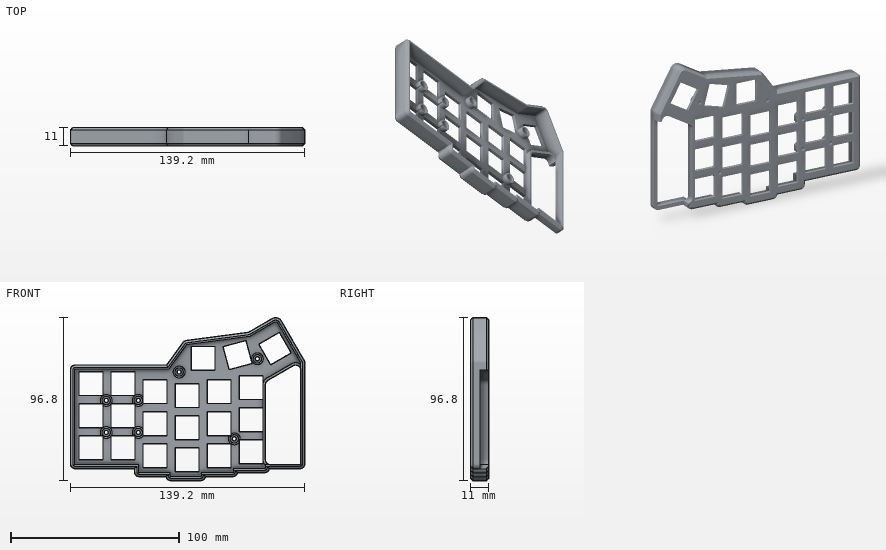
import cadquery as cq
import math


KEY_PITCH = 19.0
KEY_CUTOUT = 14.0
ROWS = 3
STAGGER = KEY_PITCH / 8
COLUMN_DROPS = [0, 0, 2 * STAGGER, 3 * STAGGER, 2 * STAGGER, STAGGER]
LAST_COLUMN_X = (len(COLUMN_DROPS) - 1) * KEY_PITCH

THUMB_TURN = 30
OUTER_THUMB = (109.15, 58.8)
THUMB_KEYS = [
    (3.5 * KEY_PITCH, 53.0, 0),
    (86.95, 54.95, THUMB_TURN / 2),
    (*OUTER_THUMB, THUMB_TURN),
]

DEPTH = 11.0
WALL = 2.5
BOARD_CLEARANCE = 0.5
EDGE_CHAMFER = 1.5
PLATE = 2.0
PLATE_FRONT = DEPTH - PLATE

BOARD_WIDTH = 133.15
BOARD_LEFT = -9.25
BOARD_RIGHT = BOARD_LEFT + BOARD_WIDTH
BOARD_BOTTOM = -KEY_PITCH / 2
BOARD_TOP = 46.1
STEP_XS = [28.75, 47.5, 65.0, 84.0, 102.9]
SHOULDER_FOOT_X = 46.4
SHOULDER_TOP = (57.0, 60.7)
SHOULDER_ANGLE = 7.5
THUMB_EDGE_ABOVE = 13.27
THUMB_EDGE_BESIDE = 8.5
APEX_RADIUS = 1.0

RIM_WIDTH = 1.5
RIM_FRONT = 5.7
BAY_LEFT = LAST_COLUMN_X + KEY_CUTOUT / 2 + RIM_WIDTH
BAY_RIGHT = BOARD_RIGHT + BOARD_CLEARANCE
BAY_BOTTOM = BOARD_BOTTOM - BOARD_CLEARANCE
BAY_LEFT_TOP = 39.1
BAY_RIGHT_TOP = BAY_LEFT_TOP + (BAY_RIGHT - BAY_LEFT) * math.tan(math.radians(THUMB_TURN))
BAY_RADIUS = 3.0

BOSS_DIAMETER = 7.0
BOSS_BORE = 5.0
SCREW_HOLE = 2.3
BOSS_HEIGHT = 3.0
BOSS_OFFSET = KEY_PITCH / 2 - 0.45
BOSSES = [
    (BOSS_OFFSET + column * KEY_PITCH, BOSS_OFFSET + row * KEY_PITCH)
    for column in range(2)
    for row in range(2)
]
BOSSES += [(52.3, 44.9), (98.7, 52.75), (85.0, 5.25)]

OVERCUT = 5.0


def front_plane(y):
    """Sketch plane at depth y with local x along X and local y along Z; its normal is -Y."""
    return cq.Workplane("XZ", origin=(0, y, 0))


def block(x_range, y_range, z_range):
    """Box between the given limits along each axis."""
    sizes = [high - low for low, high in (x_range, y_range, z_range)]
    corner = (x_range[0], y_range[0], z_range[0])
    return cq.Workplane().box(*sizes, centered=False).translate(corner)


def discs(centers, diameter, y_start, y_end):
    """Cylinders along Y between two depths."""
    return front_plane(y_start).pushPoints(centers).circle(diameter / 2).extrude(y_start - y_end)


def board_points():
    """Corners of the board as (x, z), with the stepped lower edge from left to right."""
    turn = math.radians(THUMB_TURN)
    apex_x = OUTER_THUMB[0] + THUMB_EDGE_BESIDE * math.cos(turn) - THUMB_EDGE_ABOVE * math.sin(turn)
    apex_z = OUTER_THUMB[1] + THUMB_EDGE_BESIDE * math.sin(turn) + THUMB_EDGE_ABOVE * math.cos(turn)

    gentle = math.tan(math.radians(SHOULDER_ANGLE))
    steep = math.tan(turn)
    shoulder_x, shoulder_z = SHOULDER_TOP
    valley_x = (apex_z - shoulder_z + gentle * shoulder_x - steep * apex_x) / (gentle - steep)
    valley_z = shoulder_z + gentle * (valley_x - shoulder_x)

    right_top_z = apex_z - (BOARD_RIGHT - apex_x) / steep

    points = [(BOARD_LEFT, BOARD_TOP), (BOARD_LEFT, BOARD_BOTTOM)]
    drops_left = COLUMN_DROPS[1:]
    drops_right = COLUMN_DROPS[2:] + [0]
    for x, drop_left, drop_right in zip(STEP_XS, drops_left, drops_right):
        points += [(x, BOARD_BOTTOM - drop_left), (x, BOARD_BOTTOM - drop_right)]
    points += [(BOARD_RIGHT, BOARD_BOTTOM), (BOARD_RIGHT, right_top_z)]
    points += [(apex_x, apex_z), (valley_x, valley_z), SHOULDER_TOP, (SHOULDER_FOOT_X, BOARD_TOP)]
    return points


def grown_board(distance, length):
    """Prism from y = 0 of the board outline grown by a distance with rounded corners."""
    corners = [cq.Vector(x, 0, z) for x, z in board_points()]
    outline = cq.Wire.makePolygon(corners, close=True)
    apex = max(outline.Vertices(), key=lambda corner: corner.Z)
    grown = outline.fillet2D(APEX_RADIUS, [apex]).offset2D(distance, "arc")[0]
    return cq.Workplane(cq.Solid.extrudeLinear(grown, [], cq.Vector(0, length, 0)))


def bay_prism(grow, y_start, y_end):
    """Prism of the bay outline, grown by a distance, between two depths."""
    corners = [
        (BAY_LEFT, BAY_BOTTOM),
        (BAY_RIGHT, BAY_BOTTOM),
        (BAY_RIGHT, BAY_RIGHT_TOP),
        (BAY_LEFT, BAY_LEFT_TOP),
    ]
    wire = cq.Wire.makePolygon([cq.Vector(x, y_start, z) for x, z in corners], close=True)
    lower_right = max(wire.Vertices(), key=lambda corner: corner.X - corner.Z)
    others = [corner for corner in wire.Vertices() if not corner.isSame(lower_right)]
    wire = wire.fillet2D(BAY_RADIUS, others)
    lower_right = max(wire.Vertices(), key=lambda corner: corner.X - corner.Z)
    wire = wire.fillet2D(BOARD_CLEARANCE, [lower_right])
    if grow > 0:
        wire = wire.offset2D(grow, "arc")[0]
    return cq.Workplane(cq.Solid.extrudeLinear(wire, [], cq.Vector(0, y_end - y_start, 0)))


def make_tray():
    shell = grown_board(BOARD_CLEARANCE + WALL, DEPTH).faces("<Y or >Y").chamfer(EDGE_CHAMFER)
    return shell.cut(grown_board(BOARD_CLEARANCE, PLATE_FRONT))


def add_bay_rim(case):
    rim = bay_prism(RIM_WIDTH, RIM_FRONT, PLATE_FRONT)
    return case.union(rim.intersect(grown_board(BOARD_CLEARANCE, PLATE_FRONT)))


def cut_bay(case):
    """Opens the bay and removes the outer walls along it behind the rim front."""
    case = case.cut(bay_prism(0, 0, DEPTH))
    corner_half_angle = math.radians(90 - THUMB_TURN) / 2
    side_top = BAY_RIGHT_TOP - BAY_RADIUS / math.tan(corner_half_angle)
    outer_right = BAY_RIGHT + WALL + OVERCUT
    outer_bottom = BAY_BOTTOM - WALL - OVERCUT
    depths = (RIM_FRONT, DEPTH + OVERCUT)
    case = case.cut(block((BAY_RIGHT - BOARD_CLEARANCE, outer_right), depths, (outer_bottom, side_top)))
    bottom_span = (BAY_LEFT + BAY_RADIUS, outer_right)
    return case.cut(block(bottom_span, depths, (outer_bottom, BAY_BOTTOM + BOARD_CLEARANCE)))


def add_bosses(case):
    case = case.union(discs(BOSSES, BOSS_DIAMETER, PLATE_FRONT - BOSS_HEIGHT, PLATE_FRONT))
    case = case.cut(discs(BOSSES, BOSS_BORE, 0, PLATE_FRONT))
    return case.cut(discs(BOSSES, SCREW_HOLE, 0, DEPTH))


def cut_keys(case):
    keys = list(THUMB_KEYS)
    for column, drop in enumerate(COLUMN_DROPS):
        keys += [(column * KEY_PITCH, row * KEY_PITCH - drop, 0) for row in range(ROWS)]
    for x, z, turn in keys:
        key = cq.Workplane().box(KEY_CUTOUT, 2 * DEPTH, KEY_CUTOUT)
        key = key.rotate((0, 0, 0), (0, 1, 0), -turn).translate((x, DEPTH, z))
        case = case.cut(key)
    return case


case = make_tray()
case = add_bay_rim(case)
case = add_bosses(case)
case = cut_keys(case)
result = cut_bay(case)